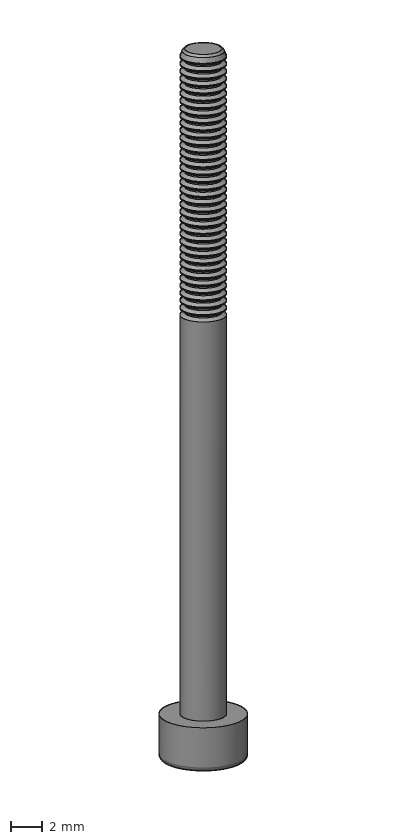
import cadquery as cq
import math

HEAD_DIAMETER = 5.68
HEAD_HEIGHT = 3.0
HEAD_EDGE_RADIUS = 0.28
SHANK_DIAMETER = 3.0
UNDER_HEAD_LENGTH = 45.0
THREAD_LENGTH = 18.0
PITCH = 0.5
THREAD_DEPTH = 0.3
THREAD_ANGLE = 60.0
CREST_FLAT = PITCH / 8
TIP_CHAMFER = 0.16

head_radius = HEAD_DIAMETER / 2
crest_radius = SHANK_DIAMETER / 2
root_radius = crest_radius - THREAD_DEPTH
flank_height = THREAD_DEPTH * math.tan(math.radians(THREAD_ANGLE / 2))
root_flat = PITCH - CREST_FLAT - 2 * flank_height
tip_z = HEAD_HEIGHT + UNDER_HEAD_LENGTH
thread_start_z = tip_z - THREAD_LENGTH
groove_count = round(THREAD_LENGTH / PITCH) - 1


def make_head():
    """Plain cylindrical head with a rounded outer edge on its free end."""
    head = cq.Workplane("XY").circle(head_radius).extrude(HEAD_HEIGHT)
    return head.faces("<Z").edges().fillet(HEAD_EDGE_RADIUS)


def add_groove(profile, start_z):
    """Continue the shank profile through one ring groove, from crest to crest."""
    root_start_z = start_z + flank_height
    root_end_z = root_start_z + root_flat
    return (
        profile.lineTo(crest_radius, start_z)
        .lineTo(root_radius, root_start_z)
        .lineTo(root_radius, root_end_z)
        .lineTo(crest_radius, root_end_z + flank_height)
    )


def add_tip(profile, start_z):
    """Taper gently from the last crest, then chamfer at 45 degrees to the end face."""
    return (
        profile.lineTo(crest_radius, start_z)
        .lineTo(root_radius + TIP_CHAMFER, tip_z - TIP_CHAMFER)
        .lineTo(root_radius, tip_z)
        .lineTo(0, tip_z)
    )


def make_threaded_shank():
    """Revolved shank whose thread is a stack of identical ring grooves."""
    profile = cq.Workplane("XZ").moveTo(0, HEAD_HEIGHT).lineTo(crest_radius, HEAD_HEIGHT)
    for index in range(groove_count):
        profile = add_groove(profile, thread_start_z + index * PITCH)
    profile = add_tip(profile, thread_start_z + groove_count * PITCH)
    return profile.close().revolve(360, (0, 0, 0), (0, 1, 0))


result = make_head().union(make_threaded_shank())